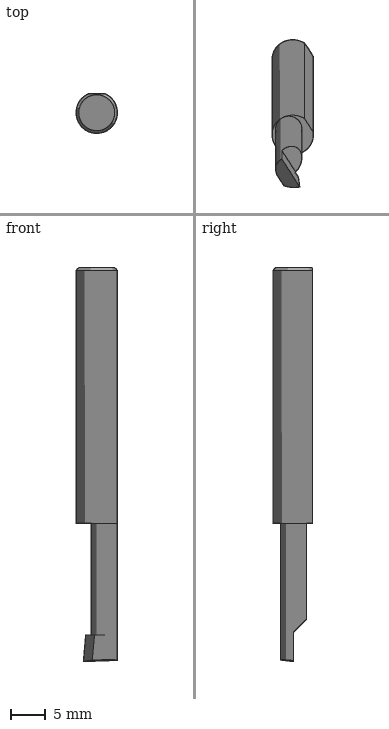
import cadquery as cq
import math

total_length = 57.0
shank_diameter = 6.0
shank_length = 37.0
shank_chamfer = 0.4
flat_offset = 2.75

neck_diameter = 3.8

tooth_height = 3.87
tip_x = -1.95
heel_x = -1.16
heel_y = -1.4
flank_radius = 5.0
side_relief_angle = 5.0

gash_root = 4.25
gash_angle = 45.0

end_angle_x = 2.0
end_angle_y = 5.5

shank_radius = shank_diameter / 2
neck_radius = neck_diameter / 2
neck_x = shank_radius - neck_radius
shank_bottom = total_length - shank_length
back_x = heel_x + neck_radius + heel_y


def make_shank():
    shank = (
        cq.Workplane("XY", origin=(0, 0, shank_bottom))
        .circle(shank_radius)
        .extrude(shank_length)
        .faces(">Z")
        .chamfer(shank_chamfer)
    )
    flat_cutter = cq.Workplane("XY").box(
        shank_diameter, shank_diameter, total_length, centered=(True, False, False)
    )
    return shank.cut(flat_cutter.translate((0, flat_offset, 0)))


def make_neck():
    return cq.Workplane("XY").center(neck_x, 0).circle(neck_radius).extrude(shank_bottom)


def make_gash():
    """Space in front of the cutting face, closed at the top by a sloping run-out."""
    depth = shank_diameter / 2
    gash_top = gash_root + depth * math.tan(math.radians(gash_angle))
    return (
        cq.Workplane("YZ")
        .polyline([(0, 0), (depth, 0), (depth, gash_top), (0, gash_root)])
        .close()
        .extrude(shank_diameter, both=True)
    )


def make_tooth():
    """Tooth whose curved flank and bevelled heel lean towards the neck with height."""
    lean = tooth_height * math.tan(math.radians(side_relief_angle))

    def draw_outline(plane, shift):
        return (
            plane.moveTo(tip_x + shift, 0)
            .radiusArc((heel_x + shift, heel_y), -flank_radius)
            .lineTo(back_x + shift, -neck_radius)
            .lineTo(neck_x, -neck_radius)
            .lineTo(neck_x, 0)
            .close()
        )

    bottom = draw_outline(cq.Workplane("XY"), 0)
    top_plane = bottom.workplane(offset=tooth_height, origin=(0, 0, 0))
    return draw_outline(top_plane, lean).loft(ruled=True)


def make_end_cutter():
    """Material below the sloping end face, which passes through the tip."""
    rise_x = math.tan(math.radians(end_angle_x))
    rise_y = math.tan(math.radians(end_angle_y))
    end_plane = cq.Plane(origin=(tip_x, 0, 0), normal=(rise_x, -rise_y, -1))
    width = 4 * shank_diameter
    return cq.Workplane(end_plane).rect(width, width).extrude(shank_diameter)


body = make_shank().union(make_neck()).cut(make_gash())
result = body.union(make_tooth()).cut(make_end_cutter())